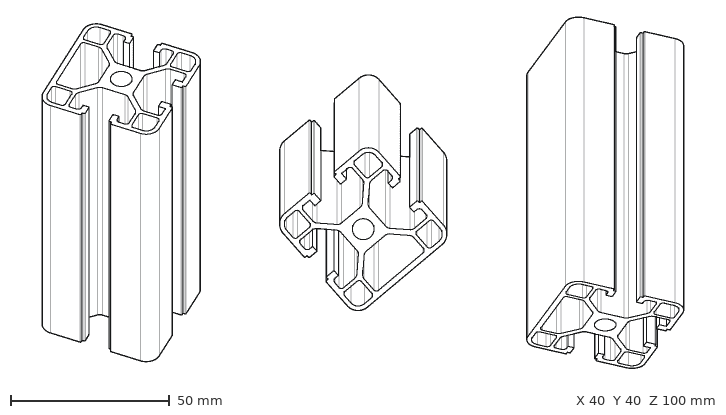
import cadquery as cq

side = 40.0
length = 100.0
corner_radius = 4.5
half_side = side / 2

core_half = 6.0
bore_diameter = 6.8

web_thickness = 1.2
web_inner = 10.3
web_outer = web_inner + web_thickness
brace_offset = 1.3
brace_radius = 2.0
groove_radius = 1.0
side_wall = 1.9
ceiling = half_side - side_wall

corner_wall = 1.5
chamber_outer = half_side - corner_wall
chamber_radius = 1.0
chamber_outer_radius = corner_radius - corner_wall

neck_width = 8.2
mouth_width = 10.1
mouth_depth = 1.0
neck_half = neck_width / 2
mouth_half = mouth_width / 2
mouth_floor = half_side - mouth_depth
mouth_radius = 0.3
nose_radius = 0.3
lip_end = 15.7
lip_back = 6.2
lip_back_radius = 1.2
thick_lip_back = 6.6
clearance = 1.0


def prism(corners):
    """Full-length prism from (x, y, radius) corners, rounding those with a radius."""
    body = cq.Workplane("XY").polyline([(x, y) for x, y, _ in corners]).close().extrude(length)
    for x, y, radius in corners:
        if radius:
            edge = cq.selectors.NearestToPointSelector((x, y, length / 2))
            body = body.edges("|Z").edges(edge).fillet(radius)
    return body


def symmetric_prism(right_half):
    """Prism from the right half of an outline that is symmetric about the Y axis."""
    left_half = [(-x, y, radius) for x, y, radius in reversed(right_half)]
    return prism(right_half + left_half)


def turned(body, angle):
    """Copy of a body turned about the profile axis."""
    return body.rotate((0, 0, 0), (0, 0, 1), angle)


groove_half = [
    (core_half - brace_offset, core_half, brace_radius),
    (web_inner, web_inner + brace_offset, brace_radius),
    (web_inner, ceiling, groove_radius),
]


def slot(back, back_radius):
    """Groove that opens towards +Y between two lips, with a stepped mouth."""
    return symmetric_prism(groove_half + [
        (back, ceiling, back_radius),
        (back, lip_end, 0),
        (neck_half, lip_end, 0),
        (neck_half, mouth_floor, nose_radius),
        (mouth_half, mouth_floor, 0),
        (mouth_half, half_side, mouth_radius),
        (mouth_half + clearance, half_side, 0),
        (mouth_half + clearance, half_side + clearance, 0),
    ])


def corner_chamber():
    """Hollow in the +X +Y corner, concentric with the outer corner rounding."""
    return prism([
        (web_outer, web_outer, chamber_radius),
        (chamber_outer, web_outer, chamber_radius),
        (chamber_outer, chamber_outer, chamber_outer_radius),
        (web_outer, chamber_outer, chamber_radius),
    ])


result = cq.Workplane("XY").rect(side, side).extrude(length).edges("|Z").fillet(corner_radius)
result = result.cut(cq.Workplane("XY").circle(bore_diameter / 2).extrude(length))

for angle in (0, 90, 180, 270):
    result = result.cut(turned(corner_chamber(), angle))

for angle in (0, 180):
    result = result.cut(turned(slot(lip_back, lip_back_radius), angle))
result = result.cut(turned(slot(thick_lip_back, 0), -90))

result = result.cut(turned(symmetric_prism(groove_half), 90))